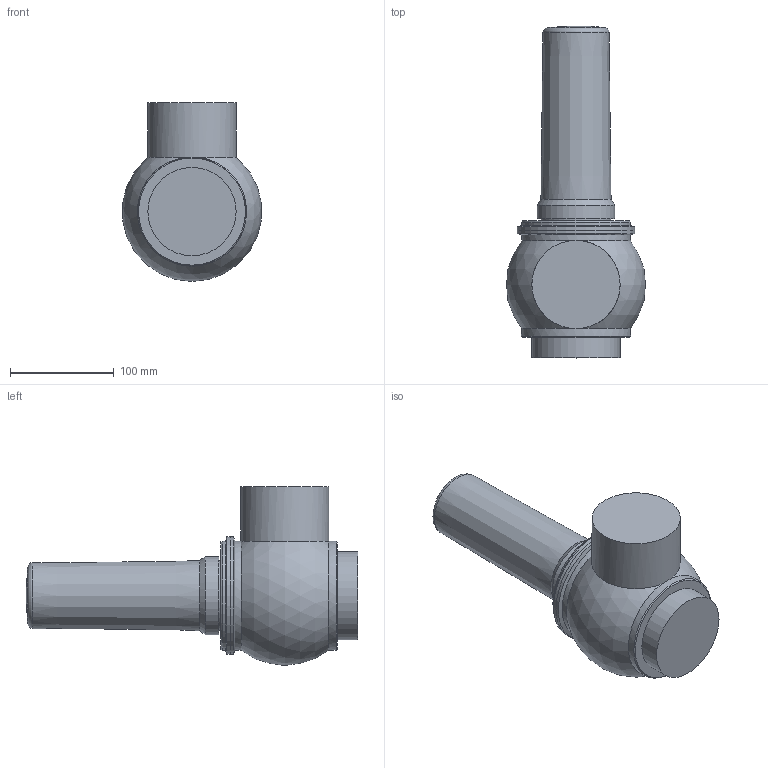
import cadquery as cq

BALL_RADIUS = 67.25
PIPE_RADIUS = 85.0 / 2
INLET_END_Y = -70.5
OUTLET_END_Z = 105.0

COLLAR_RADIUS = 105.0 / 2
FRONT_COLLAR_Y = -50.5
FRONT_COLLAR_CHAMFER = 1.0

JOINT_Y = 52.5
FLANGE_RADIUS = 113.0 / 2
FLANGE_RIM_WIDTH = 3.3
FLANGE_TAPER_WIDTH = 1.1
BONNET_COLLAR_Y = 61.4
BONNET_CHAMFER_WIDTH = 1.6
BONNET_CHAMFER_DEPTH = 0.7

NECK_RADIUS = 67.0 / 2
SHOULDER_RADIUS = 75.0 / 2
SHOULDER_START_Y = 63.5
SHOULDER_END_Y = 76.5
SHOULDER_CONE_END_Y = 82.0
STEM_BASE_RADIUS = 67.5 / 2
STEM_TIP_RADIUS = 63.5 / 2
STEM_TIP_Y = 249.0
TIP_DOME_HEIGHT = 2.0
TIP_FILLET = 5.0


def revolve_about_y(profile):
    """Close a half profile, drawn with radius along X, and spin it around the Y axis."""
    return profile.close().revolve(360, (0, 0, 0), (0, 1, 0))


def make_valve():
    """Ball housing with inlet pipe, outlet pipe and its half of the flange."""
    ball_edge_y = (BALL_RADIUS**2 - COLLAR_RADIUS**2) ** 0.5
    rim_y = JOINT_Y - FLANGE_RIM_WIDTH
    profile = (
        cq.Workplane("XY")
        .moveTo(0, INLET_END_Y)
        .lineTo(PIPE_RADIUS, INLET_END_Y)
        .lineTo(PIPE_RADIUS, FRONT_COLLAR_Y)
        .lineTo(COLLAR_RADIUS - FRONT_COLLAR_CHAMFER, FRONT_COLLAR_Y)
        .lineTo(COLLAR_RADIUS, FRONT_COLLAR_Y + FRONT_COLLAR_CHAMFER)
        .lineTo(COLLAR_RADIUS, -ball_edge_y)
        .threePointArc((BALL_RADIUS, 0), (COLLAR_RADIUS, ball_edge_y))
        .lineTo(COLLAR_RADIUS, rim_y - FLANGE_TAPER_WIDTH)
        .lineTo(FLANGE_RADIUS, rim_y)
        .lineTo(FLANGE_RADIUS, JOINT_Y)
        .lineTo(0, JOINT_Y)
    )
    outlet = cq.Workplane("XY").circle(PIPE_RADIUS).extrude(OUTLET_END_Z)
    return revolve_about_y(profile).union(outlet)


def tip_dome_radius():
    """Radius of the sphere that caps the stem with the given rise."""
    return (STEM_TIP_RADIUS**2 + TIP_DOME_HEIGHT**2) / (2 * TIP_DOME_HEIGHT)


def make_actuator():
    """Bonnet with the other half of the flange, shoulder ring and stem."""
    rim_y = JOINT_Y + FLANGE_RIM_WIDTH
    dome_base_y = STEM_TIP_Y - TIP_DOME_HEIGHT
    profile = (
        cq.Workplane("XY")
        .moveTo(0, JOINT_Y)
        .lineTo(FLANGE_RADIUS, JOINT_Y)
        .lineTo(FLANGE_RADIUS, rim_y)
        .lineTo(COLLAR_RADIUS, rim_y + FLANGE_TAPER_WIDTH)
        .lineTo(COLLAR_RADIUS, BONNET_COLLAR_Y - BONNET_CHAMFER_WIDTH)
        .lineTo(COLLAR_RADIUS - BONNET_CHAMFER_DEPTH, BONNET_COLLAR_Y)
        .lineTo(NECK_RADIUS, BONNET_COLLAR_Y)
        .lineTo(NECK_RADIUS, SHOULDER_START_Y)
        .lineTo(SHOULDER_RADIUS, SHOULDER_START_Y)
        .lineTo(SHOULDER_RADIUS, SHOULDER_END_Y)
        .lineTo(STEM_BASE_RADIUS, SHOULDER_CONE_END_Y)
        .lineTo(STEM_TIP_RADIUS, dome_base_y)
        .radiusArc((0, STEM_TIP_Y), -tip_dome_radius())
    )
    rim_of_tip = cq.selectors.NearestToPointSelector((0, dome_base_y, 0))
    return revolve_about_y(profile).edges(rim_of_tip).fillet(TIP_FILLET)


valve = make_valve()
actuator = make_actuator()

result = cq.Compound.makeCompound([valve.val(), actuator.val()])